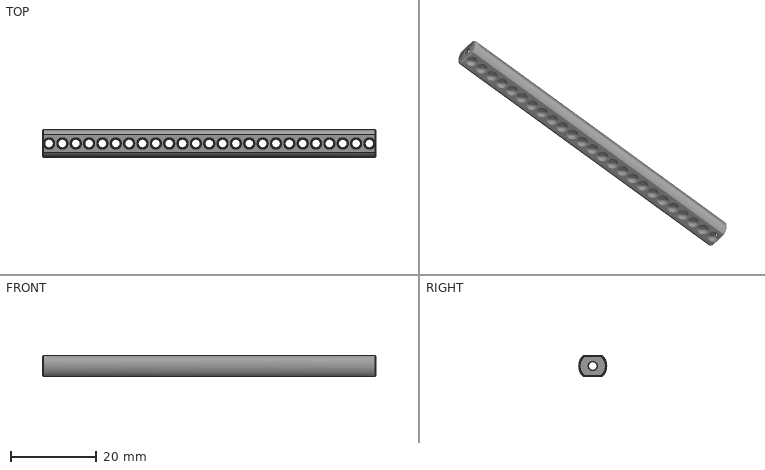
import cadquery as cq

length = 78.1
rod_diameter = 6.6
across_flats = 5.0

edge_chamfer = 0.3

bore_diameter = 2.0
cross_hole_diameter = 2.0
hole_pitch = 3.1
hole_count = 25


def make_bar():
    """Flatted rod along X, centred on the origin, with chamfered ends."""
    rod = cq.Workplane("YZ").circle(rod_diameter / 2).extrude(length / 2, both=True)
    flats = cq.Workplane("XY").box(length, rod_diameter, across_flats)
    return rod.intersect(flats).faces("<X or >X").chamfer(edge_chamfer)


def make_bore():
    """Lengthwise through hole on the axis of the bar."""
    return cq.Workplane("YZ").circle(bore_diameter / 2).extrude(length / 2, both=True)


def make_cross_hole():
    """Cutter for a vertical through hole, chamfered at both flats."""
    hole_radius = cross_hole_diameter / 2
    rim_radius = hole_radius + edge_chamfer
    flat_height = across_flats / 2
    chamfer_height = flat_height - edge_chamfer
    return (
        cq.Workplane("XZ")
        .moveTo(0, -flat_height)
        .lineTo(rim_radius, -flat_height)
        .lineTo(hole_radius, -chamfer_height)
        .lineTo(hole_radius, chamfer_height)
        .lineTo(rim_radius, flat_height)
        .lineTo(0, flat_height)
        .close()
        .revolve(360, (0, 0, 0), (0, 1, 0))
    )


result = make_bar().cut(make_bore())

cross_hole = make_cross_hole()
first_hole_x = -(hole_count - 1) / 2 * hole_pitch
for index in range(hole_count):
    hole_x = first_hole_x + index * hole_pitch
    result = result.cut(cross_hole.translate((hole_x, 0, 0)))